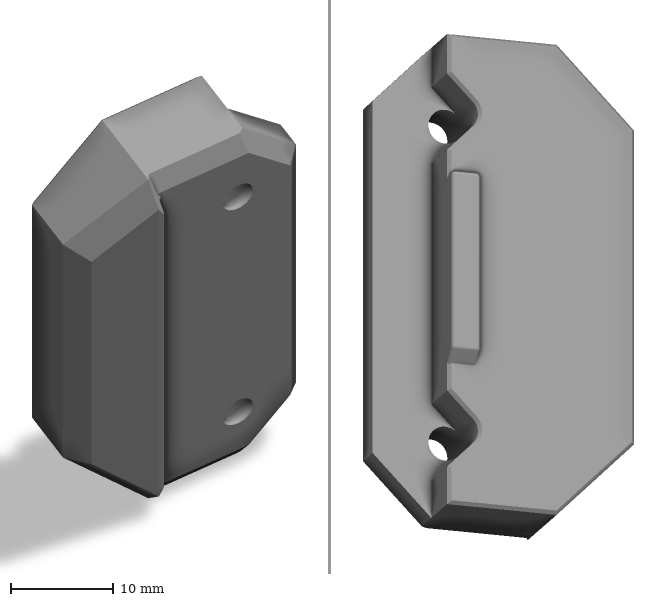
import cadquery as cq
import math

height = 48.0
body_width = 19.25
flange_width = 6.05
body_corner = 7.95
half_height = height / 2

flange_front = 5.2
back_level = 9.7
crest_level = 11.25

lip_tilt = 20.0
rim_start = 6.25
rim_end = 9.0
rim_inset = 1.65
rim_shortening = 0.8
lip_inner_y = -10.65
lip_root = 0.5
crest_round = 0.2
crest_end_rise = 0.4

flange_bevel = 1.6
end_bevel_depth = 1.15
end_bevel_height = 2.0

front_chamfer = 0.35

hole_diameter = 3.45
hole_y = -1.45
upper_hole_z = 16.1
lower_hole_z = -16.25

tab_depth = 1.25
tab_width = 2.95
tab_half_length = 9.65
tab_round = 0.4

bevel_start_y = body_corner - body_width
tilt_slope = math.tan(math.radians(lip_tilt))
cutter_size = 4 * height


def beyond_plane(outward, first, second, third):
    """Large block on the outward side of the plane through three points."""
    origin = cq.Vector(*first)
    along = cq.Vector(*second) - origin
    normal = along.cross(cq.Vector(*third) - origin)
    if normal.dot(cq.Vector(*outward)) < 0:
        normal = normal * -1
    plane = cq.Plane(origin=origin, xDir=along, normal=normal)
    return cq.Workplane(plane).rect(cutter_size, cutter_size).extrude(cutter_size)


def both_ends(solid):
    """The solid together with its mirror image in z = 0."""
    return solid.union(solid.mirror("XY"))


def make_outline(depth):
    """Eight-sided outline of the whole part, extruded along X."""
    flange_end_z = half_height - flange_width
    body_end_z = half_height - body_corner
    upper = [
        (flange_width, flange_end_z),
        (0, half_height),
        (bevel_start_y, half_height),
        (-body_width, body_end_z),
    ]
    lower = [(y, -z) for y, z in reversed(upper)]
    return cq.Workplane("YZ").polyline(upper + lower).close().extrude(depth)


def make_slab():
    """Flat-backed part of the body with the thinner flange on its +Y side."""
    slab = make_outline(back_level)
    flange_edges = slab.faces(">X").edges().filter(lambda edge: edge.Center().y > 0)
    slab = flange_edges.chamfer(flange_bevel)

    bevel_x = back_level - end_bevel_depth
    bevel_z = half_height - end_bevel_height
    side = (
        cq.Workplane("XZ")
        .polyline([
            (0, half_height), (bevel_x, half_height), (back_level, bevel_z),
            (back_level, -bevel_z), (bevel_x, -half_height), (0, -half_height),
        ])
        .close()
        .extrude(height, both=True)
    )
    slab = slab.intersect(side)

    keep = cq.Workplane("XY").box(
        back_level, flange_width - bevel_start_y, height, centered=(False, False, True)
    ).translate((0, bevel_start_y, 0))
    step = cq.Workplane("XY").box(
        flange_front, flange_width, height, centered=(False, False, True)
    )
    return slab.intersect(keep).cut(step)


def make_lip_block():
    """-Y part of the body, rising along the inclined back to the lip crest."""
    root_y = lip_inner_y + lip_root
    profile = (
        cq.Workplane("XY")
        .moveTo(0, -body_width)
        .lineTo(rim_start, -body_width)
        .lineTo(rim_end, rim_inset - body_width)
        .lineTo(crest_level, bevel_start_y)
        .lineTo(crest_level, lip_inner_y - crest_round)
        .radiusArc((crest_level - crest_round, lip_inner_y), -crest_round)
        .lineTo(back_level + lip_root, lip_inner_y)
        .lineTo(back_level, root_y)
        .lineTo(0, root_y)
        .close()
        .extrude(half_height, both=True)
    )
    block = profile.intersect(make_outline(crest_level))

    corner_low = (rim_start, -body_width, half_height - body_corner)
    corner_high = (rim_start + body_corner * tilt_slope, bevel_start_y, half_height)
    rim_corner = (rim_end, rim_inset - body_width, half_height - body_corner - rim_shortening)
    rim_cut = beyond_plane((1, -1, 1), corner_low, corner_high, rim_corner)

    rise = bevel_start_y - rim_corner[1]
    crest_end = (crest_level, bevel_start_y, rim_corner[2] + rise)
    slab_edge = (back_level - end_bevel_depth, bevel_start_y + crest_end_rise, half_height)
    crest_cut = beyond_plane((0, 0, 1), corner_high, crest_end, slab_edge)
    return block.cut(both_ends(rim_cut)).cut(both_ends(crest_cut))


def make_hole_and_notch(z):
    """Through hole and the 45 degree notch tangent to it in front of the flange."""
    radius = hole_diameter / 2
    tangent = radius * math.sqrt(0.5)
    mouth = radius * math.sqrt(2) + flange_width - hole_y
    notch = (
        cq.Workplane("YZ")
        .polyline([
            (hole_y - tangent, z + tangent), (flange_width, z + mouth),
            (flange_width, z - mouth), (hole_y - tangent, z - tangent),
        ])
        .close()
        .extrude(flange_front)
    )
    hole = cq.Workplane("YZ").center(hole_y, z).circle(radius).extrude(crest_level)
    return hole.union(notch)


def make_tab():
    """Rounded tab standing out of the front face, with a 45 degree lower end."""
    embed = 2 * front_chamfer
    tab = (
        cq.Workplane("XZ")
        .polyline([
            (embed, tab_half_length), (-tab_depth, tab_half_length),
            (-tab_depth, tab_depth - tab_half_length), (embed, -embed - tab_half_length),
        ])
        .close()
        .extrude(tab_width)
    )
    return tab.faces("not >X").edges("not >X").fillet(tab_round)


body = make_slab().union(make_lip_block())
for z in (upper_hole_z, lower_hole_z):
    body = body.cut(make_hole_and_notch(z))
body = body.faces("<X").edges().chamfer(front_chamfer)
result = body.union(make_tab())